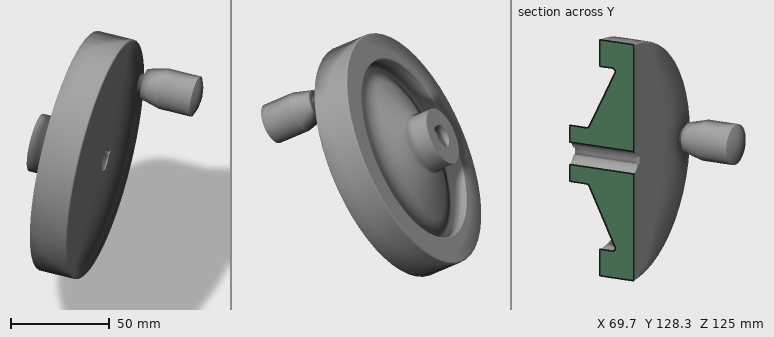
import cadquery as cq
import math

wheel_diameter = 125.0
rim_front = 17.2
rim_width = 19.9
rim_back = rim_front + rim_width
rim_edge_radius = 0.8

recess_diameter = 96.4
hub_diameter = 30.0
hub_length = 10.8
web_slope_angle = 26.2
web_depth = (recess_diameter - hub_diameter) / 2 * math.tan(math.radians(web_slope_angle))
recess_floor = hub_length + web_depth
web_fillet_radius = 1.5

bore_diameter = 12.0
keyway_width = 4.0
keyway_reach = 7.7

overall_length = 69.7
overall_width = 128.3
grip_diameter = 21.0
neck_diameter = 15.8
stem_diameter = 10.1
stem_length = 2.6
neck_length = 10.1
dome_height = 2.7
handle_offset = overall_width - wheel_diameter / 2 - grip_diameter / 2


def revolve_about_x(profile):
    """Revolve an outline drawn as (x, radius) a full turn about the X axis."""
    return profile.close().revolve(360, (0, 0, 0), (1, 0, 0))


def circles_within(x, diameter):
    """Select the circular edges lying at x, up to the given diameter."""
    clearance = 0.1
    reach = diameter / 2 + clearance
    return cq.selectors.BoxSelector(
        (x - clearance, -reach, -reach), (x + clearance, reach, reach), boundingbox=True
    )


def make_wheel():
    wheel = revolve_about_x(
        cq.Workplane("XY")
        .moveTo(0, 0)
        .lineTo(0, hub_diameter / 2)
        .lineTo(hub_length, hub_diameter / 2)
        .lineTo(recess_floor, recess_diameter / 2)
        .lineTo(rim_front, recess_diameter / 2)
        .lineTo(rim_front, wheel_diameter / 2)
        .lineTo(rim_back, wheel_diameter / 2)
        .lineTo(rim_back, 0)
    )
    wheel = wheel.edges(circles_within(hub_length, hub_diameter)).fillet(web_fillet_radius)
    wheel = wheel.edges(circles_within(recess_floor, recess_diameter)).fillet(web_fillet_radius)
    rim_edges = circles_within(rim_front, wheel_diameter) + circles_within(rim_back, wheel_diameter)
    wheel = wheel.edges(rim_edges).fillet(rim_edge_radius)
    return wheel


def make_bore():
    bore = cq.Workplane("YZ").circle(bore_diameter / 2).extrude(rim_back)
    keyway = (
        cq.Workplane("YZ")
        .center(keyway_reach / 2, 0)
        .rect(keyway_reach, keyway_width)
        .extrude(rim_back)
    )
    return bore.union(keyway)


def make_handle():
    neck_start = rim_back + stem_length
    grip_start = neck_start + neck_length
    grip_end = overall_length - dome_height
    grip_radius = grip_diameter / 2

    dome_radius = (grip_radius**2 + dome_height**2) / (2 * dome_height)
    dome_centre = overall_length - dome_radius
    half_angle = math.asin(grip_radius / dome_radius) / 2
    dome_middle = (
        dome_centre + dome_radius * math.cos(half_angle),
        dome_radius * math.sin(half_angle),
    )

    stem_root = (rim_front + rim_back) / 2
    handle = revolve_about_x(
        cq.Workplane("XY")
        .moveTo(stem_root, 0)
        .lineTo(stem_root, stem_diameter / 2)
        .lineTo(neck_start, stem_diameter / 2)
        .lineTo(neck_start, neck_diameter / 2)
        .lineTo(grip_start, grip_radius)
        .lineTo(grip_end, grip_radius)
        .threePointArc(dome_middle, (overall_length, 0))
    )
    return handle.translate((0, handle_offset, 0))


result = make_wheel().cut(make_bore()).union(make_handle())